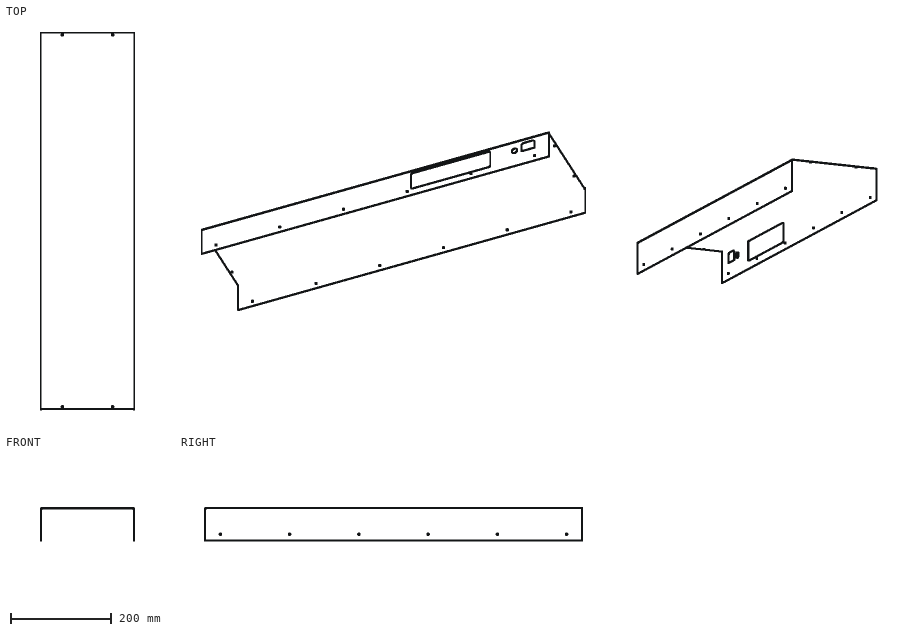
import cadquery as cq

length = 750.0
width = 186.0
height = 65.0
sheet = 1.5
bend_radius = 3.0
front_setback = 1.5

screw_diameter = 3.0
flange_screw_count = 6
flange_screw_margin = 31.0
flange_screw_height = 13.0
top_screw_spacing = 100.0
top_screw_margin = 4.5

window_length = 171.0
window_height = 40.5
window_offset = 212.0
window_center_height = 37.0
window_corner = 3.0
inlet_length = 28.5
inlet_height = 20.0
inlet_offset = 45.0
inlet_center_height = 44.0
inlet_corner = 4.0
button_diameter = 11.0
button_offset = 74.0
button_height = 40.5

front = -length / 2
rear = length / 2
left = -width / 2
cut_depth = 2 * bend_radius


def folded_sheet():
    """U-shaped channel, open at the bottom and at both ends."""
    outer = cq.Workplane("XY").box(width, length, height, centered=(True, True, False))
    outer = outer.edges("|Y and >Z").fillet(bend_radius)
    inner = cq.Workplane("XY").box(
        width - 2 * sheet, length, height - sheet, centered=(True, True, False)
    )
    inner = inner.edges("|Y and >Z").fillet(bend_radius - sheet)
    return outer.cut(inner)


def front_notch():
    """Strip removed from the front edge of the top panel, between the flanges."""
    notch_width = width - 2 * sheet
    return cq.Workplane("XY").box(notch_width, front_setback, 2 * cut_depth).translate(
        (0, front + front_setback / 2, height)
    )


def left_flange_block(block_length, block_height, offset, center_height):
    """Rectangular cutter through the left flange."""
    return cq.Workplane("XY").box(cut_depth, block_length, block_height).translate(
        (left, front + offset, center_height)
    )


def flange_screws():
    """Row of holes near the bottom edge, through both flanges."""
    pitch = (length - 2 * flange_screw_margin) / (flange_screw_count - 1)
    return (
        cq.Workplane("YZ")
        .center(0, flange_screw_height)
        .rarray(pitch, 7.5, flange_screw_count, 1)
        .circle(screw_diameter / 2)
        .extrude(width, both=True)
    )


def top_screws():
    """Pair of holes at each end of the top panel."""
    rows = (front + front_setback + top_screw_margin, rear - top_screw_margin)
    centers = [(side * top_screw_spacing / 2, y) for side in (-1, 1) for y in rows]
    return (
        cq.Workplane("XY")
        .workplane(offset=height - cut_depth)
        .pushPoints(centers)
        .circle(screw_diameter / 2)
        .extrude(2 * cut_depth)
    )


window = left_flange_block(
    window_length, window_height, window_offset, window_center_height
).edges("|X").fillet(window_corner)

inlet = left_flange_block(
    inlet_length, inlet_height, inlet_offset, inlet_center_height
).edges("|X and >Z").chamfer(inlet_corner)

button = (
    cq.Workplane("YZ")
    .workplane(offset=left - cut_depth / 2)
    .center(front + button_offset, button_height)
    .circle(button_diameter / 2)
    .extrude(cut_depth)
)

result = folded_sheet()
for cutter in (front_notch(), flange_screws(), top_screws(), window, inlet, button):
    result = result.cut(cutter)